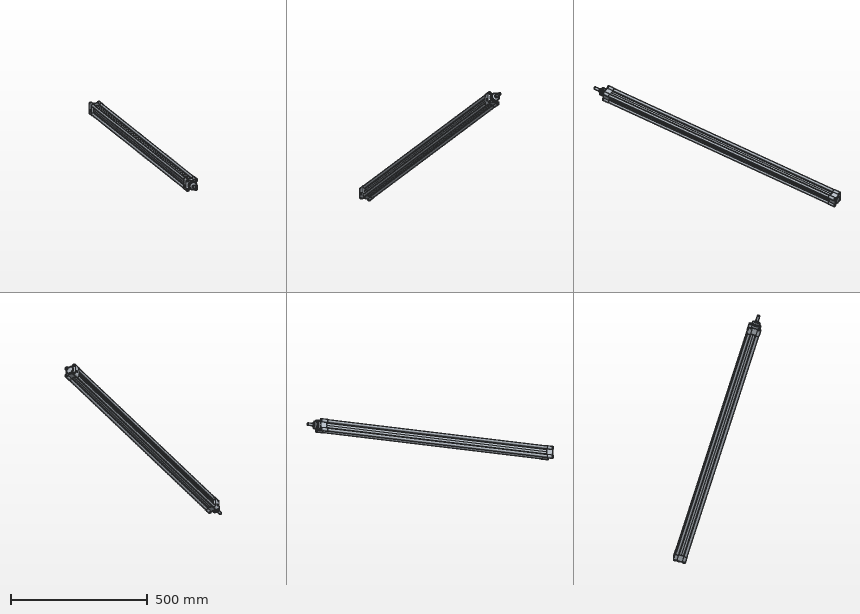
import cadquery as cq
import math


stroke = 900.0
body_length_at_zero_stroke = 94.0
body_length = stroke + body_length_at_zero_stroke
rear_collar_length = 4.0
cap_length = 25.5
front_collar_length = 8.0
neck_length = 5.5
nose_disc_length = 3.0
nose_cone_length = 2.0
rod_reach = 26.0
thread_length = 22.0
thread_chamfer = 1.5

rear_cap_start = rear_collar_length
barrel_start = rear_cap_start + cap_length
barrel_end = rear_cap_start + body_length - cap_length
front_face = rear_cap_start + body_length
nose_end = front_face + front_collar_length + neck_length + nose_disc_length + nose_cone_length
shoulder = front_face + rod_reach

screw_offset = 16.25
cap_lobe_radius = 6.5
cap_half_width = screw_offset + cap_lobe_radius
cap_core_half = 17.5
collar_radius = 15.0
collar_chamfer = 2.0
neck_radius = 12.5
nose_lip_width = 0.5
screw_socket_radius = 3.0
screw_socket_depth = 3.0

port_radius = 4.3
port_depth = 8.0
port_z = -6.3
port_inset = 11.0

barrel_lobe_radius = 5.5
barrel_core_half = 16.0
groove_half_width = 8.0
groove_depth = 1.7
groove_floor = barrel_core_half - groove_depth
ridge_half_width = 4.5
ridge_height = 1.1

rod_radius = 6.0
thread_radius = 5.0
wrench_across_flats = 10.0
wrench_length = 4.0
shoulder_collar_length = 2.0
wrench_start = shoulder - shoulder_collar_length - wrench_length


def yz_plane(x):
    """Section plane at x: local x is Y, local y is Z, and extrusions run along +X."""
    return cq.Workplane("YZ", origin=(x, 0, 0))


def corner_points():
    return [(y, z) for y in (-screw_offset, screw_offset) for z in (-screw_offset, screw_offset)]


def cylinder(x, radius, length):
    return yz_plane(x).circle(radius).extrude(length)


def make_cap_block(x):
    """Square core with a round screw lobe at each corner and a full-width flat on the -Y side."""
    core = yz_plane(x).rect(2 * cap_core_half, 2 * cap_core_half).extrude(cap_length)
    lobes = yz_plane(x).pushPoints(corner_points()).circle(cap_lobe_radius).extrude(cap_length)
    panel = (
        yz_plane(x)
        .center(-cap_half_width / 2, 0)
        .rect(cap_half_width, 2 * screw_offset)
        .extrude(cap_length)
    )
    return core.union(lobes).union(panel)


def cut_screw_sockets(cap, x):
    sockets = yz_plane(x).pushPoints(corner_points()).circle(screw_socket_radius).extrude(screw_socket_depth)
    return cap.cut(sockets)


def cut_port(cap, x):
    port = (
        cq.Workplane("XZ", origin=(x, -cap_half_width, port_z))
        .circle(port_radius)
        .extrude(-port_depth)
    )
    return cap.cut(port)


def make_rear_cap():
    cap = make_cap_block(rear_cap_start)
    collar = cylinder(0, collar_radius, rear_collar_length).faces("<X").chamfer(collar_chamfer)
    cap = cap.union(collar)
    cap = cut_screw_sockets(cap, rear_cap_start)
    return cut_port(cap, rear_cap_start + port_inset)


def make_nose():
    """Turned profile: collar, narrower neck, then a disc tapering down to the rod."""
    collar_end = front_face + front_collar_length
    neck_end = collar_end + neck_length
    return (
        cq.Workplane("XY")
        .moveTo(front_face, 0)
        .lineTo(front_face, collar_radius)
        .lineTo(collar_end, collar_radius)
        .lineTo(collar_end, neck_radius)
        .lineTo(neck_end, neck_radius)
        .lineTo(neck_end, collar_radius)
        .lineTo(neck_end + nose_disc_length, collar_radius)
        .lineTo(nose_end, rod_radius + nose_lip_width)
        .lineTo(nose_end, 0)
        .close()
        .revolve(360, (0, 0, 0), (1, 0, 0))
    )


def make_front_cap():
    """Cap with a stepped nose and a through bore for the rod."""
    cap = make_cap_block(barrel_end)
    cap = cap.union(make_nose())
    cap = cut_screw_sockets(cap, front_face - screw_socket_depth)
    cap = cut_port(cap, front_face - port_inset)
    return cap.cut(cylinder(barrel_end, rod_radius, nose_end - barrel_end))


def make_barrel():
    """Extruded profile: square core, round corner lobes and a groove on each side.

    A low ridge runs along the middle of each groove floor.
    """
    length = barrel_end - barrel_start
    barrel = yz_plane(barrel_start).rect(2 * barrel_core_half, 2 * barrel_core_half).extrude(length)
    lobes = (
        yz_plane(barrel_start)
        .pushPoints(corner_points())
        .circle(barrel_lobe_radius)
        .extrude(length)
    )
    barrel = barrel.union(lobes)
    groove = (
        yz_plane(barrel_start)
        .moveTo(barrel_core_half, -groove_half_width)
        .lineTo(groove_floor, -groove_half_width)
        .lineTo(groove_floor, -ridge_half_width)
        .lineTo(groove_floor + ridge_height, 0)
        .lineTo(groove_floor, ridge_half_width)
        .lineTo(groove_floor, groove_half_width)
        .lineTo(barrel_core_half, groove_half_width)
        .close()
        .extrude(length)
    )
    for side in range(4):
        barrel = barrel.cut(groove.rotate((0, 0, 0), (1, 0, 0), 90 * side))
    return barrel


def make_rod():
    """Rod with a short square wrench section just behind the thread shoulder."""
    rod = cylinder(barrel_end, rod_radius, shoulder - barrel_end)
    square = (
        yz_plane(wrench_start)
        .rect(wrench_across_flats, wrench_across_flats)
        .extrude(wrench_length)
    )
    rod = rod.cut(cylinder(wrench_start, rod_radius, wrench_length).cut(square))
    thread = cylinder(shoulder, thread_radius, thread_length).faces(">X").chamfer(thread_chamfer)
    return rod.union(thread)


rear_cap = make_rear_cap()
barrel = make_barrel()
front_cap = make_front_cap()
piston_rod = make_rod()

result = cq.Compound.makeCompound([rear_cap.val(), barrel.val(), front_cap.val(), piston_rod.val()])